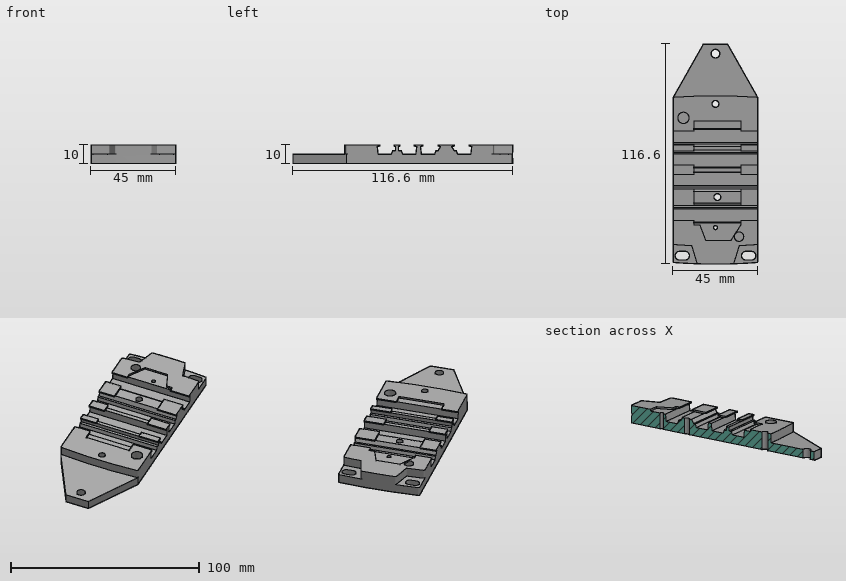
import cadquery as cq
import math

WIDTH = 45.0
HALF_WIDTH = WIDTH / 2
THICKNESS = 10.0
LEDGE_Z = 5.0
TOTAL_LENGTH = 116.63
BODY_LENGTH = 89.35
END_RADIUS = 290.0
CORNER_FILLET = 0.8
END_DROP = END_RADIUS - math.sqrt(END_RADIUS**2 - HALF_WIDTH**2)

TONGUE_TIP_HALF_WIDTH = 6.5
TONGUE_ROOT_SETBACK = 0.15
TONGUE_ROOT_Y = BODY_LENGTH - END_DROP - TONGUE_ROOT_SETBACK

LEDGE_DEPTH = 9.6
LEDGE_FRONT_X = 9.6
LEDGE_REAR_X = 12.6
LEDGE_FILLET = 0.5
CUT_OVERRUN = 1.0

MOUNT_DIAMETER = 4.5
TONGUE_HOLE_TIP_DISTANCE = 5.0
TONGUE_HOLE_Y = TOTAL_LENGTH - TONGUE_HOLE_TIP_DISTANCE
SLOT_LENGTH = 7.5
SLOT_X = 17.6
SLOT_Y = 4.5
SCREW_DIAMETER = 3.5
SCREW_HOLES = [(0.0, 85.0), (1.0, 35.6)]
PIN_DIAMETER = 2.01
PIN_HOLE = (0.0, 19.4)
BLIND_DEPTH = 5.0
BLIND_HOLES = [(-17.0, 77.6, 6.0), (12.5, 14.6, 5.0)]

POCKET_Z = 9.0
POCKET_LEFT = -11.5
POCKET_RIGHT = 13.5
POCKET_REAR = 75.8
POCKET_FRONT = 20.9
FUNNEL_REAR_LEFT = -8.3
FUNNEL_FRONT_LEFT = -5.1
FUNNEL_FRONT_RIGHT = 8.1
FUNNEL_FRONT = 12.5

GROOVE_FLOOR_Z = 5.0
STEP_Z = 6.85
LIP_TIP_Z = 9.35
LIP_ROOT_Z = 9.0
HOOK_LEAN = 0.45

REAR_PAIR_Y = 61.5
REAR_RIDGE_LIP = 1.6
REAR_RIDGE_WALL = 0.9
REAR_STEP = 2.3
REAR_STEP_RUN = 0.8
REAR_HOOK_LIP = 9.0
REAR_HOOK_WALL = 10.4

FRONT_PAIR_Y = 35.45
FRONT_RIDGE_LIP = 4.4
FRONT_RIDGE_WALL = 3.0
FRONT_RIDGE_FOOT = 4.35
FRONT_STEP = 5.45
FRONT_STEP_RUN = 0.7
FRONT_HOOK_LIP = 12.15
FRONT_HOOK_WALL = 13.5


def make_body():
    """Bow-ended block with square corners."""
    return (
        cq.Workplane("XY")
        .moveTo(-HALF_WIDTH, END_DROP)
        .threePointArc((0, 0), (HALF_WIDTH, END_DROP))
        .lineTo(HALF_WIDTH, BODY_LENGTH - END_DROP)
        .threePointArc((0, BODY_LENGTH), (-HALF_WIDTH, BODY_LENGTH - END_DROP))
        .close()
        .extrude(THICKNESS)
    )


def make_tongue():
    """Tapered plate at the rear; it starts inside the body."""
    overlap_y = BODY_LENGTH / 2
    return (
        cq.Workplane("XY")
        .polyline([
            (-HALF_WIDTH, overlap_y),
            (HALF_WIDTH, overlap_y),
            (HALF_WIDTH, TONGUE_ROOT_Y),
            (TONGUE_TIP_HALF_WIDTH, TOTAL_LENGTH),
            (-TONGUE_TIP_HALF_WIDTH, TOTAL_LENGTH),
            (-HALF_WIDTH, TONGUE_ROOT_Y),
        ])
        .close()
        .extrude(LEDGE_Z)
    )


def make_right_ledge_cutter():
    """Space above the right front ledge; its rear wall follows the bow of the front end."""
    def bow_y(x):
        return END_RADIUS - math.sqrt(END_RADIUS**2 - x**2)

    outer_x = HALF_WIDTH + CUT_OVERRUN
    middle_x = (LEDGE_REAR_X + outer_x) / 2
    front_y = -CUT_OVERRUN
    slope = (LEDGE_REAR_X - LEDGE_FRONT_X) / LEDGE_DEPTH
    return (
        cq.Workplane("XY")
        .workplane(offset=LEDGE_Z)
        .moveTo(outer_x, front_y)
        .lineTo(outer_x, LEDGE_DEPTH + bow_y(outer_x))
        .threePointArc(
            (middle_x, LEDGE_DEPTH + bow_y(middle_x)),
            (LEDGE_REAR_X, LEDGE_DEPTH + bow_y(LEDGE_REAR_X)),
        )
        .lineTo(LEDGE_FRONT_X + slope * front_y, front_y)
        .close()
        .extrude(THICKNESS - LEDGE_Z)
    )


def cut_ledges(body):
    right = make_right_ledge_cutter()
    return body.cut(right).cut(right.mirror("YZ"))


def round_vertical_edges(body):
    """Round the outer corners of the body, then the inner corners of the ledges."""
    def is_inner(edge):
        return abs(edge.Center().x) < LEDGE_REAR_X + LEDGE_FILLET

    body = body.edges("|Z").filter(lambda edge: not is_inner(edge)).fillet(CORNER_FILLET)
    return body.edges("|Z").filter(is_inner).fillet(LEDGE_FILLET)


def finish_groove(profile, step, step_run, hook_lip, hook_wall):
    """Complete a groove profile from its step to the hooked outer wall and back over the top."""
    return (
        profile
        .lineTo(step, STEP_Z)
        .lineTo(step + step_run, GROOVE_FLOOR_Z)
        .lineTo(hook_wall - HOOK_LEAN, GROOVE_FLOOR_Z)
        .lineTo(hook_wall, LIP_ROOT_Z)
        .lineTo(hook_lip, LIP_TIP_Z)
        .lineTo(hook_lip, THICKNESS)
        .close()
        .extrude(HALF_WIDTH, both=True)
    )


def make_rear_groove():
    profile = (
        cq.Workplane("YZ")
        .moveTo(REAR_RIDGE_LIP, THICKNESS)
        .lineTo(REAR_RIDGE_LIP, LIP_TIP_Z)
        .lineTo(REAR_RIDGE_WALL, LIP_ROOT_Z)
        .lineTo(REAR_RIDGE_WALL, STEP_Z)
    )
    return finish_groove(profile, REAR_STEP, REAR_STEP_RUN, REAR_HOOK_LIP, REAR_HOOK_WALL)


def make_front_groove():
    profile = (
        cq.Workplane("YZ")
        .moveTo(FRONT_RIDGE_LIP, THICKNESS)
        .lineTo(FRONT_RIDGE_LIP, LIP_TIP_Z)
        .lineTo(FRONT_RIDGE_WALL, LIP_ROOT_Z)
        .lineTo(FRONT_RIDGE_FOOT, STEP_Z)
    )
    return finish_groove(profile, FRONT_STEP, FRONT_STEP_RUN, FRONT_HOOK_LIP, FRONT_HOOK_WALL)


def cut_groove_pair(body, groove, pair_y):
    for cutter in (groove, groove.mirror("XZ")):
        body = body.cut(cutter.translate((0, pair_y, 0)))
    return body


def cut_pocket(body):
    """Shallow pocket with a funnel-shaped front end."""
    pocket = (
        cq.Workplane("XY")
        .workplane(offset=POCKET_Z)
        .polyline([
            (POCKET_LEFT, POCKET_REAR),
            (POCKET_RIGHT, POCKET_REAR),
            (POCKET_RIGHT, POCKET_FRONT),
            (FUNNEL_FRONT_RIGHT, FUNNEL_FRONT),
            (FUNNEL_FRONT_LEFT, FUNNEL_FRONT),
            (FUNNEL_REAR_LEFT, POCKET_FRONT),
            (POCKET_LEFT, POCKET_FRONT),
        ])
        .close()
        .extrude(THICKNESS - POCKET_Z)
    )
    return body.cut(pocket)


def cut_round(body, x, y, diameter, bottom_z=0.0):
    cutter = (
        cq.Workplane("XY")
        .workplane(offset=bottom_z)
        .center(x, y)
        .circle(diameter / 2)
        .extrude(THICKNESS - bottom_z)
    )
    return body.cut(cutter)


def cut_holes(body):
    body = cut_round(body, 0, TONGUE_HOLE_Y, MOUNT_DIAMETER)
    body = cut_round(body, *PIN_HOLE, PIN_DIAMETER)
    for x, y in SCREW_HOLES:
        body = cut_round(body, x, y, SCREW_DIAMETER)
    for x, y, diameter in BLIND_HOLES:
        body = cut_round(body, x, y, diameter, THICKNESS - BLIND_DEPTH)
    slots = (
        cq.Workplane("XY")
        .pushPoints([(-SLOT_X, SLOT_Y), (SLOT_X, SLOT_Y)])
        .slot2D(SLOT_LENGTH, MOUNT_DIAMETER)
        .extrude(THICKNESS)
    )
    return body.cut(slots)


result = round_vertical_edges(cut_ledges(make_body()))
result = result.union(make_tongue())
result = cut_groove_pair(result, make_rear_groove(), REAR_PAIR_Y)
result = cut_groove_pair(result, make_front_groove(), FRONT_PAIR_Y)
result = cut_pocket(result)
result = cut_holes(result)